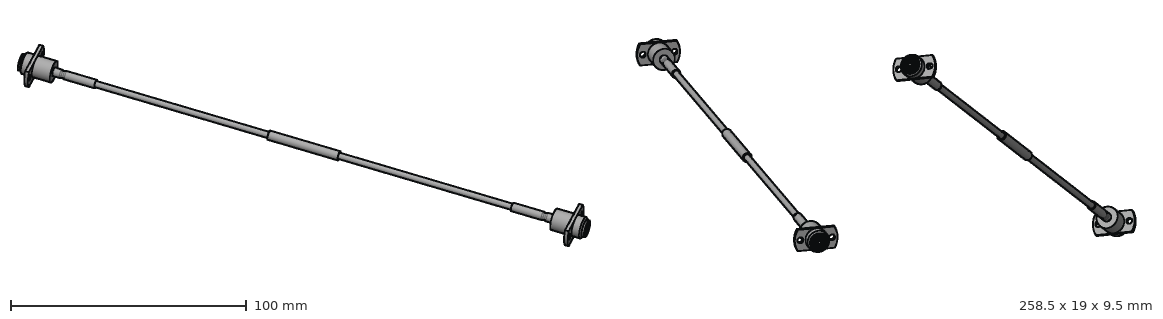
import cadquery as cq

overall_length = 258.5
half_length = overall_length / 2

connector_length = 15.0
connector_diameter = 9.5
connector_radius = connector_diameter / 2
tip_diameter = 7.5
tip_radius = tip_diameter / 2
tip_length = 1.0
shoulder_chamfer = 0.8
face_groove_width = 0.8
face_groove_depth = 0.8
face_groove_count = 2

flange_start = 5.2
flange_thickness = 1.68
flange_diameter = 19.0
flange_radius = flange_diameter / 2
flange_height = connector_diameter
mount_hole_radius = 1.3
mount_hole_offset = 7.0

boot_length = 19.1
boot_radius = 1.91
boot_groove_start = 3.0
boot_groove_width = 2.3
boot_groove_depth = 0.23
boot_groove_slope = 0.8

cable_radius = 1.42
cable_length = half_length - connector_length
sleeve_length = 32.0
sleeve_radius = 2.0


def rod(start_x, length, radius):
    """Solid cylinder along +X."""
    return cq.Workplane("YZ", origin=(start_x, 0, 0)).circle(radius).extrude(length)


def tube(start_x, length, outer_radius, inner_radius):
    """Hollow cylinder along +X."""
    return cq.Workplane("YZ", origin=(start_x, 0, 0)).circle(outer_radius).circle(inner_radius).extrude(length)


def make_flange():
    """Left-hand flange: the trimmed disc with its mounting holes."""
    flange = rod(-half_length + flange_start, flange_thickness, flange_radius)
    flats = cq.Workplane("XY").box(overall_length, flange_diameter, flange_height)
    holes = (
        cq.Workplane("YZ", origin=(-half_length, 0, 0))
        .pushPoints([(-mount_hole_offset, 0), (mount_hole_offset, 0)])
        .circle(mount_hole_radius)
        .extrude(connector_length)
    )
    return flange.intersect(flats).cut(holes)


def make_barrel():
    """Round connector barrel: a chamfered shoulder with a narrower tip in front of it."""
    shoulder_x = -half_length + tip_length
    back_x = -half_length + connector_length
    return (
        cq.Workplane("XZ")
        .moveTo(-half_length, 0)
        .lineTo(-half_length, tip_radius)
        .lineTo(shoulder_x, tip_radius)
        .lineTo(shoulder_x, connector_radius - shoulder_chamfer)
        .lineTo(shoulder_x + shoulder_chamfer, connector_radius)
        .lineTo(back_x, connector_radius)
        .lineTo(back_x, 0)
        .close()
        .revolve(360, (0, 0, 0), (1, 0, 0))
    )


def make_connector():
    """Left-hand connector: barrel with flange, and ring grooves in the mating face."""
    connector = make_barrel().union(make_flange())
    for index in range(face_groove_count):
        inner_radius = (2 * index + 1) * face_groove_width
        outer_radius = inner_radius + face_groove_width
        connector = connector.cut(tube(-half_length, face_groove_depth, outer_radius, inner_radius))
    return connector


def make_boot():
    """Left-hand boot: a tube on the cable with a trapezoidal groove near the connector."""
    start_x = -half_length + connector_length
    groove_x = start_x + boot_groove_start
    groove_end_x = groove_x + boot_groove_width
    groove_radius = boot_radius - boot_groove_depth
    return (
        cq.Workplane("XY")
        .moveTo(start_x, cable_radius)
        .lineTo(start_x, boot_radius)
        .lineTo(groove_x, boot_radius)
        .lineTo(groove_x + boot_groove_slope, groove_radius)
        .lineTo(groove_end_x - boot_groove_slope, groove_radius)
        .lineTo(groove_end_x, boot_radius)
        .lineTo(start_x + boot_length, boot_radius)
        .lineTo(start_x + boot_length, cable_radius)
        .close()
        .revolve(360, (0, 0, 0), (1, 0, 0))
    )


def make_cable():
    """Left-hand cable, from the back of the connector to the middle."""
    return rod(-cable_length, cable_length, cable_radius)


sleeve = tube(-sleeve_length / 2, sleeve_length, sleeve_radius, cable_radius)

bodies = [sleeve.val()]
for left_body in (make_connector(), make_boot(), make_cable()):
    bodies.append(left_body.val())
    bodies.append(left_body.mirror("YZ").val())

result = cq.Compound.makeCompound(bodies)